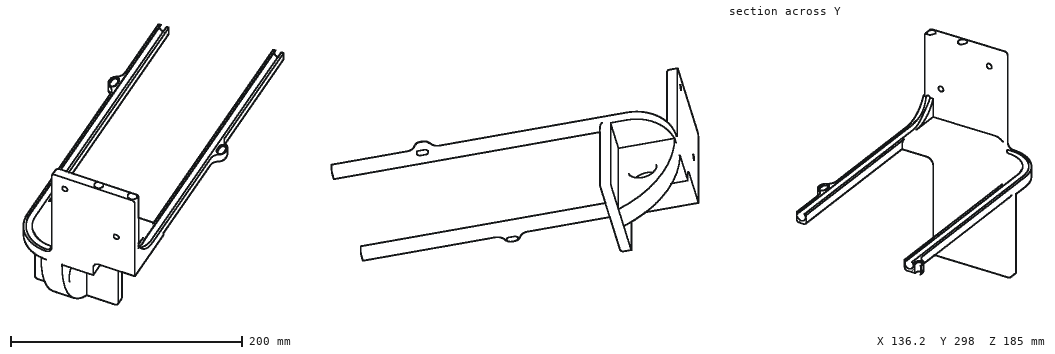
import cadquery as cq
import math


PLATE_WIDTH = 80
PLATE_HEIGHT = 90
THICKNESS = 10
DEPTH = 60
TIER_SHIFT_X = 40
TIER_STEP_Z = 15
STEP_RADIUS = 6
EDGE_RADIUS = 3
CORNER_RADIUS = 35

LOWER_TOP = PLATE_HEIGHT
LOWER_BOTTOM = LOWER_TOP - THICKNESS
UPPER_TOP = LOWER_TOP + TIER_STEP_Z
UPPER_BOTTOM = UPPER_TOP - THICKNESS
TOTAL_WIDTH = PLATE_WIDTH + TIER_SHIFT_X
TOTAL_HEIGHT = UPPER_BOTTOM + PLATE_HEIGHT
MOUNT_FRONT = DEPTH - THICKNESS

RAIL_END = 298
EYELET_STAGGER = 50
LEFT_EYELET_Y = 216.3
RIGHT_EYELET_Y = LEFT_EYELET_Y - EYELET_STAGGER
EYELET_REACH = 8.1
EYELET_RADIUS = 7
EYELET_FLARE_RADIUS = 8
EYELET_FLAT = 1.7
EYELET_SLOT_OFFSET = 3.7
EYELET_SLOT_WIDTH = 5.4
EYELET_SLOT_LENGTH = 10
EYELET_SLOT_CHAMFER = 1

CHANNEL_RADIUS = 4
CHANNEL_SINK = 3
CHANNEL_BEND_RADIUS = CORNER_RADIUS - THICKNESS / 2
RISER_BEND_RADIUS = 35
LEFT_RISER_X = 83

RIB_START = 30
RIB_THICKNESS = 20
RIB_HOLE_Y = 29.3
RIB_HOLE_Z = 50.5
RIB_HOLE_DIAMETER = 25

GUSSET_RADIUS = 30
GUSSET_END_Y = 37.5

SCREW_DIAMETER = 5
SCREW_POSITIONS = [(52.7, 172), (102, 135)]


def box(x0, x1, y0, y1, z0, z1):
    return cq.Workplane("XY").box(x1 - x0, y1 - y0, z1 - z0, centered=False).translate((x0, y0, z0))


def stepped_outline(bottom):
    """Front outline of the two tiers, with the lower left part reaching down to `bottom`."""
    r = STEP_RADIUS
    wall_x = TIER_SHIFT_X
    return (
        cq.Workplane("XZ")
        .moveTo(0, bottom)
        .lineTo(PLATE_WIDTH, bottom)
        .lineTo(PLATE_WIDTH, UPPER_BOTTOM - r)
        .radiusArc((PLATE_WIDTH + r, UPPER_BOTTOM), r)
        .lineTo(TOTAL_WIDTH, UPPER_BOTTOM)
        .lineTo(TOTAL_WIDTH, UPPER_TOP)
        .lineTo(wall_x + r, UPPER_TOP)
        .radiusArc((wall_x, UPPER_TOP - r), -r)
        .lineTo(wall_x, LOWER_TOP + r)
        .radiusArc((wall_x - r, LOWER_TOP), r)
        .lineTo(0, LOWER_TOP)
        .close()
    )


def mounting_plate():
    """Lower plate, carried up through both tiers, with its back outline rounded."""
    plate = stepped_outline(0).extrude(-THICKNESS).translate((0, MOUNT_FRONT, 0))
    bottom_corners = plate.edges("|Y").edges("<Z")
    plate = bottom_corners.fillet(EDGE_RADIUS)
    return plate.faces(">Y").edges().fillet(EDGE_RADIUS)


def floor():
    """Horizontal slab of both tiers, stopping short of the rounded back edge."""
    slab = stepped_outline(LOWER_BOTTOM).extrude(-(DEPTH - EDGE_RADIUS))
    front_left_corner = slab.edges("|Z").edges("<X").edges("<Y")
    return front_left_corner.fillet(CORNER_RADIUS)


def upright_plate():
    """Upper plate with rounded top corners and rounded back edges."""
    plate = box(TIER_SHIFT_X, TOTAL_WIDTH, 0, THICKNESS, UPPER_BOTTOM, TOTAL_HEIGHT)
    plate = plate.edges("|Y").edges(">Z").fillet(EDGE_RADIUS)
    return plate.faces(">Y").edges("not <Z").fillet(EDGE_RADIUS)


def rail(eyelet_y):
    """Left-hand rail from the mounting plate to the free end, underside at Z = 0."""
    arc_x = EYELET_RADIUS - EYELET_REACH
    flare_x = -EYELET_FLARE_RADIUS
    centre_distance = EYELET_RADIUS + EYELET_FLARE_RADIUS
    flare_rise = math.sqrt(centre_distance ** 2 - (arc_x - flare_x) ** 2)
    share = EYELET_RADIUS / centre_distance
    tangent_x = arc_x + share * (flare_x - arc_x)
    half_flat = EYELET_FLAT / 2
    tangent_dy = half_flat + share * flare_rise
    half_length = half_flat + flare_rise
    profile = (
        cq.Workplane("XY")
        .moveTo(0, MOUNT_FRONT)
        .lineTo(THICKNESS, MOUNT_FRONT)
        .lineTo(THICKNESS, RAIL_END)
        .lineTo(0, RAIL_END)
        .lineTo(0, eyelet_y + half_length)
        .radiusArc((tangent_x, eyelet_y + tangent_dy), EYELET_FLARE_RADIUS)
        .radiusArc((-EYELET_REACH, eyelet_y + half_flat), -EYELET_RADIUS)
        .lineTo(-EYELET_REACH, eyelet_y - half_flat)
        .radiusArc((tangent_x, eyelet_y - tangent_dy), -EYELET_RADIUS)
        .radiusArc((0, eyelet_y - half_length), EYELET_FLARE_RADIUS)
        .close()
    )
    body = profile.extrude(THICKNESS)
    body = body.faces("<Z").edges("not(<Y or >Y)").fillet(EDGE_RADIUS)
    return body.cut(eyelet_slot(eyelet_y))


def eyelet_slot(eyelet_y):
    """Upright slot through a rail of height THICKNESS, chamfered at its upper mouth."""
    widening = 2 * EYELET_SLOT_CHAMFER
    throat = (
        cq.Workplane("XY")
        .center(-EYELET_SLOT_OFFSET, eyelet_y)
        .slot2D(EYELET_SLOT_LENGTH, EYELET_SLOT_WIDTH, 90)
        .extrude(THICKNESS)
    )
    mouth = (
        cq.Workplane("XY", origin=(0, 0, THICKNESS))
        .center(-EYELET_SLOT_OFFSET, eyelet_y)
        .slot2D(EYELET_SLOT_LENGTH + widening, EYELET_SLOT_WIDTH + widening, 90)
        .extrude(-EYELET_SLOT_CHAMFER, taper=45)
    )
    return throat.union(mouth)


def left_rail():
    return rail(LEFT_EYELET_Y).translate((0, 0, LOWER_BOTTOM))


def right_rail():
    mirrored = rail(RIGHT_EYELET_Y).mirror("YZ")
    return mirrored.translate((TOTAL_WIDTH, 0, UPPER_BOTTOM))


def rib():
    """Rib whose front arc leaves the tier vertically and ends at the foot of the mounting plate."""
    arc_radius = (MOUNT_FRONT ** 2 + LOWER_BOTTOM ** 2) / (2 * MOUNT_FRONT)
    body = (
        cq.Workplane("YZ")
        .moveTo(0, LOWER_BOTTOM)
        .radiusArc((MOUNT_FRONT, 0), -arc_radius)
        .lineTo(MOUNT_FRONT, LOWER_BOTTOM)
        .close()
        .extrude(RIB_THICKNESS)
    )
    hole = (
        cq.Workplane("YZ")
        .center(RIB_HOLE_Y, RIB_HOLE_Z)
        .circle(RIB_HOLE_DIAMETER / 2)
        .extrude(RIB_THICKNESS)
    )
    hole_rims = cq.selectors.RadiusNthSelector(0)
    body = body.cut(hole).edges("%CIRCLE").edges(hole_rims).fillet(EDGE_RADIUS)
    return body.translate((RIB_START, 0, 0))


def gusset():
    """Concave web that blends the right rail into the upright plate."""
    centre_z = UPPER_TOP + GUSSET_RADIUS
    back_y = THICKNESS - EDGE_RADIUS
    reach = GUSSET_END_Y - THICKNESS
    contact_z = centre_z - math.sqrt(GUSSET_RADIUS ** 2 - reach ** 2)
    return (
        cq.Workplane("YZ")
        .moveTo(back_y, UPPER_TOP)
        .lineTo(GUSSET_END_Y, UPPER_TOP)
        .radiusArc((THICKNESS, contact_z), GUSSET_RADIUS)
        .lineTo(back_y, contact_z)
        .close()
        .extrude(THICKNESS)
        .translate((TOTAL_WIDTH - THICKNESS, 0, 0))
    )


def screw_holes():
    """Holes through the full thickness of the upright plate."""
    return cq.Workplane("XZ").pushPoints(SCREW_POSITIONS).circle(SCREW_DIAMETER / 2).extrude(-THICKNESS)


def line(start, end):
    return cq.Edge.makeLine(cq.Vector(*start), cq.Vector(*end))


def quarter_bend(start, corner, end):
    """Quarter circle from start to end, tangent to the two straight runs that meet at corner."""
    shift = 1 - math.sqrt(0.5)
    middle = [c + shift * (a + b - 2 * c) for a, c, b in zip(start, corner, end)]
    return cq.Edge.makeThreePointArc(cq.Vector(*start), cq.Vector(*middle), cq.Vector(*end))


def sweep_channel(edges):
    """Round channel along a path that begins parallel to Y."""
    path = cq.Workplane(cq.Wire.assembleEdges(edges))
    start = edges[0].startPoint().toTuple()
    return cq.Workplane("XZ", origin=start).circle(CHANNEL_RADIUS).sweep(path)


def left_channel():
    """Along the left rail, round the front corner, then up through the upright plate."""
    inset = THICKNESS / 2
    z = LOWER_TOP - CHANNEL_SINK
    rail_start = (inset, RAIL_END, z)
    corner_in = (inset, inset + CHANNEL_BEND_RADIUS, z)
    corner_out = (inset + CHANNEL_BEND_RADIUS, inset, z)
    riser_in = (LEFT_RISER_X - RISER_BEND_RADIUS, inset, z)
    riser_out = (LEFT_RISER_X, inset, z + RISER_BEND_RADIUS)
    return sweep_channel([
        line(rail_start, corner_in),
        quarter_bend(corner_in, (inset, inset, z), corner_out),
        line(corner_out, riser_in),
        quarter_bend(riser_in, (LEFT_RISER_X, inset, z), riser_out),
        line(riser_out, (LEFT_RISER_X, inset, TOTAL_HEIGHT)),
    ])


def right_channel():
    """Along the right rail, then up through the gusset and the upright plate."""
    inset = THICKNESS / 2
    x = TOTAL_WIDTH - inset
    z = UPPER_TOP - CHANNEL_SINK
    bend_in = (x, inset + CHANNEL_BEND_RADIUS, z)
    bend_out = (x, inset, z + CHANNEL_BEND_RADIUS)
    return sweep_channel([
        line((x, RAIL_END, z), bend_in),
        quarter_bend(bend_in, (x, inset, z), bend_out),
        line(bend_out, (x, inset, TOTAL_HEIGHT)),
    ])


result = floor()
for piece in (mounting_plate(), upright_plate(), left_rail(), right_rail(), rib(), gusset()):
    result = result.union(piece)
for cutter in (left_channel(), right_channel(), screw_holes()):
    result = result.cut(cutter)